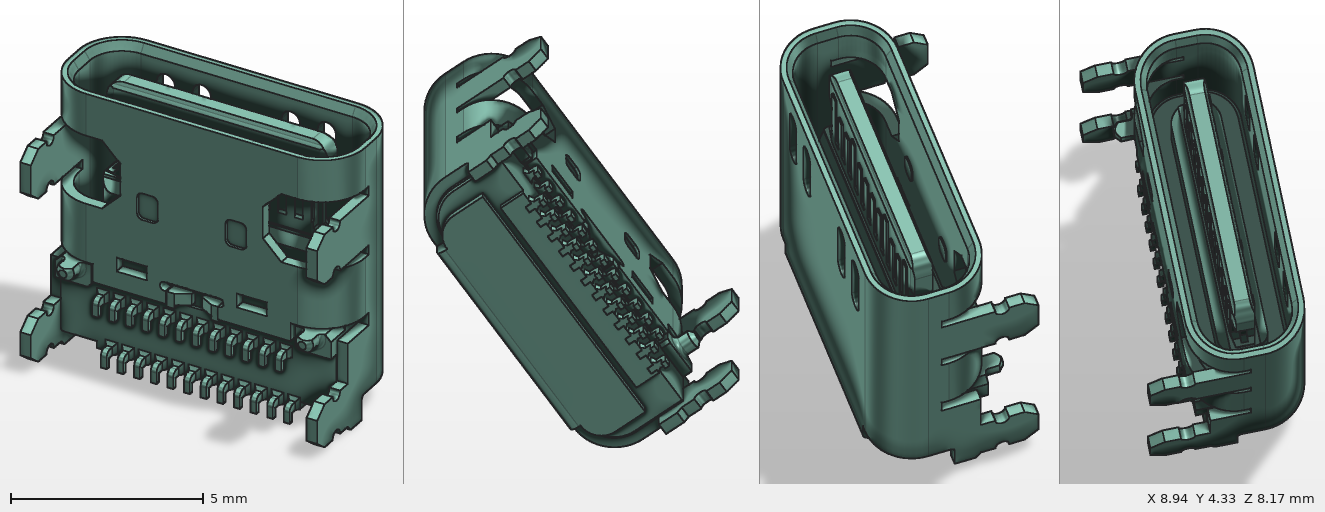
import cadquery as cq
import math


CUT_MARGIN = 0.09

WIDTH = 8.94
SHELL_DEPTH = 3.15
SHELL_TOP = 8.17
SHELL_BOTTOM = 0.73
CORNER_RADIUS = 1.29
WALL = 0.32
MOUTH_CHAMFER = 0.16
MOUTH_CHAMFER_HEIGHT = 0.24

HALF_WIDTH = WIDTH / 2
HALF_DEPTH = SHELL_DEPTH / 2
INNER_HALF_WIDTH = HALF_WIDTH - WALL
INNER_HALF_DEPTH = HALF_DEPTH - WALL
INNER_RADIUS = CORNER_RADIUS - WALL

LEG_ROOT_Y = -0.09
LEG_TIP_Y = -2.76
LEG_TIP_CHAMFER_Y = 0.38
LEG_TIP_CHAMFER_Z = 0.3
NOTCH_WIDTH = 0.375
NOTCH_DEPTH = 0.21
UPPER_LEG_Z = (5.11, 6.625)
LOWER_LEG_Z = (0.17, 1.475)
SIDE_OPENING_Z = (4.84, 6.9)
SIDE_OPENING_REACH = 2.15
SIDE_OPENING_CHAMFER = 0.55
SIDE_PLATE_TOP = 2.69
SIDE_PLATE_FRONT = -1.17
FOOT_BACK = -0.45
FOOT_FRONT = -1.03
FOOT_FILLET = 0.12

SKIRT_TOP = 3.07
FRONT_TAB_HALF_WIDTH = 2.98
FRONT_TAB_BOTTOM = 2.52
BACK_PLATE_Z = (0.06, 0.35)
BACK_PLATE_HALF_WIDTH = 3.67
BACK_PLATE_FRONT = -0.35
BACK_PLATE_CORNER = 0.66
BEND_OUTER_RADIUS = 0.27
BEND_INNER_RADIUS = 0.13

DIMPLE = (0.635, 0.805)
DIMPLE_X = 1.33
DIMPLE_Z = 5.26
DIMPLE_RADIUS = 0.18
DIMPLE_DEPTH = 0.09
BUMP_INSET = 0.125
BUMP_HEIGHT = 0.04
LATCH_WINDOW = (0.91, 0.42)
LATCH_WINDOW_X = 1.81
LATCH_WINDOW_Z = 3.27
BACK_SLOT_X = (1.34, 2.42)
BACK_SLOT_Z = (5.54, 7.53)
BACK_SLOT_WIDTH = 0.54
RELIEF_SLOT_WIDTH = 1.91
RELIEF_SLOT_Z = (2.905, 3.17)
NECK_HALF_WIDTH = 0.79

HOUSING_BOTTOM = 0.52
HOUSING_BOTTOM_CHAMFER = 0.05
HOUSING_HALF_WIDTH = INNER_HALF_WIDTH
HOUSING_FRONT = -1.22
FLOOR_Z = 3.415
FLOOR_CHAMFER = 0.09
FLOOR_CHAMFER_HEIGHT = 0.11
TAB_POCKET_HALF_WIDTH = 3.07
TAB_POCKET_BOTTOM = 2.41
TAB_POCKET_BACK = -1.12
COMB_BOTTOM = 0.31
COMB_BACK = -0.49
PAD_Z = (2.28, 2.98)
PAD_BACK = -0.75
PAD_FRONT = -1.49
PAD_TOP_CHAMFER = 0.18
PAD_CORNER_CHAMFER = 0.11
PEG_X = 3.6
PEG_Z = 2.825
PEG_RADIUS = 0.26
PEG_BASE_RADIUS = 0.375
PEG_TIP_RADIUS = 0.12
PEG_CHAMFER_Y = -1.91
PEG_TIP_Y = -2.06
PEG_EMBEDDED = 0.09
WEDGE_INNER_X = 0.15
WEDGE_OUTER_X = 0.56
NECK_BLOCK_TOP = 2.87
WEDGE_DEPTH = 0.22
NECK_BLOCK_FRONT = -1.52

TONGUE_HALF_WIDTH = 3.33
TONGUE_HALF_THICKNESS = 0.295
TONGUE_TIP_Z = 7.92
TONGUE_TIP_RADIUS = 0.48
TONGUE_TIP_HALF_THICKNESS = 0.21
TONGUE_TIP_CHAMFER_HEIGHT = 0.215
TONGUE_NOSE_HALF_THICKNESS = 0.24
TONGUE_NOSE_HEIGHT = 0.1
TONGUE_EDGE_CHAMFER_X = 0.45
TONGUE_EDGE_CHAMFER_Y = 0.09
SIDE_CATCH_Z = (5.14, 6.65)
SIDE_CATCH_DEPTH = 0.25
SIDE_CATCH_SLOPE = 0.16
PLASTIC_CATCH_DEPTH = 0.38
MID_PLATE_HALF_THICKNESS = 0.09
SHOULDER_Z = 5.1
SHOULDER_HALF_THICKNESS = 0.4
BASE_HALF_WIDTH = 3.38
BASE_HALF_THICKNESS = 0.66
BASE_CORNER = 0.45
BASE_SLOPE_TOP = 5.01

PITCH = 0.5
CONTACT_COUNT = 12
CONTACT_WIDTH = 0.25
CONTACT_FACE = 0.34
CONTACT_BOTTOM = 5.46
CONTACT_SLOPE = 0.09
SIGNAL_CONTACT_TOP = 6.97
POWER_CONTACT_TOP = 7.39
POWER_CONTACTS = (0, 3, 8, 11)
ROW_SHIFT = 0.125
LEAD_WIDTH = 0.18
LEAD_FRONT = -1.61
LEAD_THICKNESS = 0.13
LEAD_ARM_HEIGHT = 0.25
LEAD_DROP = 0.52
LEAD_EMBEDDED = 0.18
LEAD_BEND_RADIUS = 0.18
UPPER_LEAD_TOP = 2.04
LOWER_LEAD_TOP = 0.545
SOCKET_WIDTH = 0.375
SOCKET_HEIGHT = 0.36
SOCKET_PROUD = 0.1


def box(x, y, z):
    """Axis-aligned block between the (low, high) limits of each axis."""
    size = [high - low for low, high in (x, y, z)]
    return cq.Workplane("XY").box(*size, centered=False).translate((x[0], y[0], z[0]))


def rounded_bar(half_x, half_y, radius, z):
    """Upright bar with a rounded-rectangle section between two heights."""
    bar = cq.Workplane("XY").workplane(offset=z[0]).rect(2 * half_x, 2 * half_y).extrude(z[1] - z[0])
    return bar.edges("|Z").fillet(radius)


def prism_x(points, x):
    """Prism along X from an outline of (y, z) points."""
    return cq.Workplane("YZ").polyline(points).close().extrude(x[1] - x[0]).translate((x[0], 0, 0))


def prism_y(points, y):
    """Prism along Y from an outline of (x, z) points."""
    return cq.Workplane("XZ").polyline(points).close().extrude(y[1] - y[0]).translate((0, y[1], 0))


def both_sides(body):
    """The body together with its mirror image across the YZ plane."""
    return body.union(body.mirror("YZ"))


def front_wall_hole(x, z, size):
    """Rectangular cutter through the front wall."""
    half_width = size[0] / 2
    half_height = size[1] / 2
    return box(
        (x - half_width, x + half_width),
        (-HALF_DEPTH - CUT_MARGIN, -INNER_HALF_DEPTH),
        (z - half_height, z + half_height),
    )


def make_tube():
    tube = rounded_bar(HALF_WIDTH, HALF_DEPTH, CORNER_RADIUS, (SHELL_BOTTOM, SHELL_TOP))
    flare_angle = math.degrees(math.atan(MOUTH_CHAMFER / MOUTH_CHAMFER_HEIGHT))
    flare_start = SHELL_TOP - MOUTH_CHAMFER_HEIGHT
    bore = (
        rounded_bar(INNER_HALF_WIDTH, INNER_HALF_DEPTH, INNER_RADIUS, (SHELL_BOTTOM, flare_start))
        .faces(">Z")
        .wires()
        .toPending()
        .extrude(MOUTH_CHAMFER_HEIGHT, taper=-flare_angle)
    )
    return tube.cut(bore)


def leg_outline(z, root):
    """Leg seen from the side, from the side wall to its tip, with a rounded notch in each edge."""
    low, high = z
    radius = NOTCH_WIDTH / 2
    notch_start = -HALF_DEPTH
    notch_end = notch_start - NOTCH_WIDTH
    middle = notch_start - radius
    shoulder = LEG_TIP_Y + LEG_TIP_CHAMFER_Y
    straight = NOTCH_DEPTH - radius
    return (
        cq.Workplane("YZ")
        .moveTo(root, low)
        .lineTo(notch_start, low)
        .lineTo(notch_start, low + straight)
        .threePointArc((middle, low + NOTCH_DEPTH), (notch_end, low + straight))
        .lineTo(notch_end, low)
        .lineTo(shoulder, low)
        .lineTo(LEG_TIP_Y, low + LEG_TIP_CHAMFER_Z)
        .lineTo(LEG_TIP_Y, high - LEG_TIP_CHAMFER_Z)
        .lineTo(shoulder, high)
        .lineTo(notch_end, high)
        .lineTo(notch_end, high - straight)
        .threePointArc((middle, high - NOTCH_DEPTH), (notch_start, high - straight))
        .lineTo(notch_start, high)
        .lineTo(root, high)
        .close()
    )


def make_leg(z, root):
    return leg_outline(z, root).extrude(WALL).translate((-HALF_WIDTH, 0, 0))


def make_side_plate():
    """Flat plate below the shell that carries the lower leg and a foot."""
    leg_bottom = LOWER_LEG_Z[0]
    fillet_middle = FOOT_FILLET * (1 - math.sqrt(0.5))
    outline = (
        cq.Workplane("YZ")
        .moveTo(LEG_ROOT_Y, SIDE_PLATE_TOP)
        .lineTo(SIDE_PLATE_FRONT, SIDE_PLATE_TOP)
        .lineTo(SIDE_PLATE_FRONT, leg_bottom)
        .lineTo(FOOT_FRONT, 0)
        .lineTo(FOOT_BACK, 0)
        .lineTo(FOOT_BACK, SHELL_BOTTOM - FOOT_FILLET)
        .threePointArc(
            (FOOT_BACK + fillet_middle, SHELL_BOTTOM - fillet_middle),
            (FOOT_BACK + FOOT_FILLET, SHELL_BOTTOM),
        )
        .lineTo(LEG_ROOT_Y, SHELL_BOTTOM)
        .close()
    )
    return outline.extrude(WALL).translate((-HALF_WIDTH, 0, 0))


def make_side_opening():
    """Cutter for the corner opening around the upper leg."""
    low, high = SIDE_OPENING_Z
    slope_x = -SIDE_OPENING_REACH - SIDE_OPENING_CHAMFER
    outline = [
        (-HALF_WIDTH - CUT_MARGIN, low),
        (slope_x, low),
        (-SIDE_OPENING_REACH, low + SIDE_OPENING_CHAMFER),
        (-SIDE_OPENING_REACH, high - SIDE_OPENING_CHAMFER),
        (slope_x, high),
        (-HALF_WIDTH - CUT_MARGIN, high),
    ]
    return prism_y(outline, (-HALF_DEPTH - CUT_MARGIN, LEG_ROOT_Y))


def make_back_plate():
    """Strap that bends under the shell into a flat plate with rounded rear corners."""
    low, high = BACK_PLATE_Z
    strap_half_width = BACK_PLATE_HALF_WIDTH - BACK_PLATE_CORNER
    plate_x = (-BACK_PLATE_HALF_WIDTH, BACK_PLATE_HALF_WIDTH)
    plate = box(plate_x, (BACK_PLATE_FRONT, INNER_HALF_DEPTH), BACK_PLATE_Z)
    plate = plate.edges("|Z and >Y").fillet(BACK_PLATE_CORNER)
    strap = prism_x(
        [
            (INNER_HALF_DEPTH - BACK_PLATE_CORNER, low),
            (HALF_DEPTH, low),
            (HALF_DEPTH, SHELL_BOTTOM),
            (INNER_HALF_DEPTH, SHELL_BOTTOM),
            (INNER_HALF_DEPTH, high),
            (INNER_HALF_DEPTH - BACK_PLATE_CORNER, high),
        ],
        (-strap_half_width, strap_half_width),
    )
    strap = strap.edges("|X and >Y and <Z").fillet(BEND_OUTER_RADIUS)
    inner_bend = cq.selectors.NearestToPointSelector((0, INNER_HALF_DEPTH, high))
    strap = strap.edges(inner_bend).fillet(BEND_INNER_RADIUS)
    return plate.union(strap)


def make_dimple():
    """Dent pressed into the outside of the front wall, and the bump it raises inside."""
    dent = front_wall_hole(-DIMPLE_X, DIMPLE_Z, DIMPLE).edges("|Y").fillet(DIMPLE_RADIUS)
    dent = dent.translate((0, DIMPLE_DEPTH - WALL, 0))
    bump = front_wall_hole(-DIMPLE_X, DIMPLE_Z, (DIMPLE[0] - BUMP_INSET, DIMPLE[1] - BUMP_INSET))
    bump = bump.edges("|Y").fillet(DIMPLE_RADIUS)
    return dent, bump.translate((0, BUMP_HEIGHT, 0)).cut(dent)


def make_shell():
    shell = make_tube()

    front_y = (-HALF_DEPTH - CUT_MARGIN, LEG_ROOT_Y)
    corner_cut = box((-HALF_WIDTH - CUT_MARGIN, -FRONT_TAB_HALF_WIDTH), front_y, (0, SKIRT_TOP))
    shell = shell.cut(both_sides(corner_cut))
    tab_cut = box((-HALF_WIDTH, HALF_WIDTH), front_y, (0, FRONT_TAB_BOTTOM))
    shell = shell.cut(tab_cut)
    shell = shell.cut(both_sides(make_side_opening()))

    sides = make_leg(UPPER_LEG_Z, LEG_ROOT_Y).union(make_leg(LOWER_LEG_Z, FOOT_FRONT))
    sides = sides.union(make_side_plate())
    shell = shell.union(both_sides(sides)).union(make_back_plate())

    shell = shell.cut(both_sides(front_wall_hole(-LATCH_WINDOW_X, LATCH_WINDOW_Z, LATCH_WINDOW)))
    dent, bump = make_dimple()
    shell = shell.cut(both_sides(dent)).union(both_sides(bump))

    slot_low, slot_high = RELIEF_SLOT_Z
    slot_height = slot_high - slot_low
    slot_middle = (slot_low + slot_high) / 2
    relief = (
        cq.Workplane("XZ", origin=(0, -INNER_HALF_DEPTH, slot_middle))
        .slot2D(RELIEF_SLOT_WIDTH, slot_height)
        .extrude(WALL + CUT_MARGIN)
    )
    neck = front_wall_hole(0, slot_middle / 2, (2 * NECK_HALF_WIDTH, slot_middle))
    shell = shell.cut(relief).cut(neck)

    slot_length = BACK_SLOT_Z[1] - BACK_SLOT_Z[0]
    slots = (
        cq.Workplane("XZ", origin=(0, INNER_HALF_DEPTH - CUT_MARGIN, sum(BACK_SLOT_Z) / 2))
        .pushPoints([(side * x, 0) for side in (-1, 1) for x in BACK_SLOT_X])
        .slot2D(slot_length, BACK_SLOT_WIDTH, 90)
        .extrude(-WALL - 2 * CUT_MARGIN)
    )
    return shell.cut(slots)


def make_peg():
    """Locating peg along -Y with a flared root, a tapered tip and a flat top."""
    flare = PEG_BASE_RADIUS - PEG_RADIUS
    flare_end = PAD_FRONT - flare
    inset = flare * (1 - math.sqrt(0.5))
    peg = (
        cq.Workplane("XY")
        .moveTo(0, PAD_FRONT + PEG_EMBEDDED)
        .lineTo(PEG_BASE_RADIUS, PAD_FRONT + PEG_EMBEDDED)
        .lineTo(PEG_BASE_RADIUS, PAD_FRONT)
        .threePointArc((PEG_RADIUS + inset, PAD_FRONT - inset), (PEG_RADIUS, flare_end))
        .lineTo(PEG_RADIUS, PEG_CHAMFER_Y)
        .lineTo(PEG_TIP_RADIUS, PEG_TIP_Y)
        .lineTo(0, PEG_TIP_Y)
        .close()
        .revolve(360, (0, 0), (0, 1))
        .translate((-PEG_X, 0, PEG_Z))
    )
    return peg.cut(box((-HALF_WIDTH, 0), (PEG_TIP_Y - CUT_MARGIN, 0), (PAD_Z[1], PEG_Z + PEG_BASE_RADIUS)))


def make_corner_pad():
    pad = box((-HOUSING_HALF_WIDTH, -TAB_POCKET_HALF_WIDTH), (PAD_FRONT, PAD_BACK), PAD_Z)
    pad = pad.edges("|Y and >Z and <X").chamfer(PAD_TOP_CHAMFER)
    pad = pad.edges("|Y and <Z and >X").chamfer(PAD_CORNER_CHAMFER)
    return pad.union(make_peg())


def make_neck_block():
    """Block in one half of the shell's neck: a flat post, then a face sloping back towards the middle."""
    height = NECK_BLOCK_TOP - FRONT_TAB_BOTTOM
    outline = [
        (-NECK_HALF_WIDTH, TAB_POCKET_BACK),
        (-NECK_HALF_WIDTH, NECK_BLOCK_FRONT),
        (-WEDGE_OUTER_X, NECK_BLOCK_FRONT),
        (-WEDGE_INNER_X, NECK_BLOCK_FRONT + WEDGE_DEPTH),
        (-WEDGE_INNER_X, TAB_POCKET_BACK),
    ]
    wedge = cq.Workplane("XY", origin=(0, 0, FRONT_TAB_BOTTOM)).polyline(outline).close().extrude(height)
    post = box(
        (-NECK_HALF_WIDTH, -WEDGE_OUTER_X),
        (NECK_BLOCK_FRONT, TAB_POCKET_BACK),
        (TAB_POCKET_BOTTOM, FRONT_TAB_BOTTOM),
    )
    return wedge.union(post)


def make_housing():
    core = rounded_bar(INNER_HALF_WIDTH, INNER_HALF_DEPTH, INNER_RADIUS, (HOUSING_BOTTOM, FLOOR_Z))
    core = core.faces("<Z").chamfer(HOUSING_BOTTOM_CHAMFER)
    core = core.faces(">Z").chamfer(FLOOR_CHAMFER_HEIGHT, FLOOR_CHAMFER)
    below_tab = box((-HALF_WIDTH, HALF_WIDTH), (-HALF_DEPTH, HOUSING_FRONT), (0, PAD_Z[1]))
    housing_x = (-HOUSING_HALF_WIDTH, HOUSING_HALF_WIDTH)
    front = box(housing_x, (HOUSING_FRONT, 0), (HOUSING_BOTTOM, PAD_Z[0]))
    upper_front = box(housing_x, (PAD_BACK, 0), (PAD_Z[0], SKIRT_TOP))
    front = front.edges("|Y and <Z").chamfer(HOUSING_BOTTOM_CHAMFER)
    tab_x = (-TAB_POCKET_HALF_WIDTH, TAB_POCKET_HALF_WIDTH)
    comb = box(tab_x, (HOUSING_FRONT, COMB_BACK), (COMB_BOTTOM, HOUSING_BOTTOM))
    tab_pocket = box(tab_x, (-HALF_DEPTH, TAB_POCKET_BACK), (TAB_POCKET_BOTTOM, RELIEF_SLOT_Z[0]))
    housing = core.cut(below_tab).union(front).union(upper_front).union(comb)
    housing = housing.cut(tab_pocket)
    return housing.union(both_sides(make_corner_pad())).union(both_sides(make_neck_block()))


def make_side_catch(depth, y):
    """Cutter for the latch notch in the side edge of the tongue."""
    low, high = SIDE_CATCH_Z
    edge = -TONGUE_HALF_WIDTH
    floor = edge + depth
    outline = [
        (edge, low),
        (floor - SIDE_CATCH_SLOPE, low),
        (floor, low + SIDE_CATCH_SLOPE),
        (floor, high - SIDE_CATCH_SLOPE),
        (floor - SIDE_CATCH_SLOPE, high),
        (edge, high),
    ]
    return prism_y(outline, y)


def make_tongue():
    """Thin contact blade with rounded tip corners and a catch in each side, on a thicker sloped base.

    The catches are shallower in the metal plate at mid-thickness than in the plastic around it.
    """
    tip = TONGUE_TIP_Z
    blade = box((-TONGUE_HALF_WIDTH, TONGUE_HALF_WIDTH), (-CONTACT_FACE, CONTACT_FACE), (FLOOR_Z, tip))
    blade = blade.edges("|Y and >Z").fillet(TONGUE_TIP_RADIUS)
    blade = blade.cut(both_sides(make_side_catch(SIDE_CATCH_DEPTH, (-CONTACT_FACE, CONTACT_FACE))))
    plastic_catch = make_side_catch(PLASTIC_CATCH_DEPTH, (MID_PLATE_HALF_THICKNESS, CONTACT_FACE))
    plastic_catch = plastic_catch.union(plastic_catch.mirror("XZ"))
    blade = blade.cut(both_sides(plastic_catch))

    def side_profile(sign):
        return [
            (sign * CONTACT_FACE, FLOOR_Z),
            (sign * CONTACT_FACE, CONTACT_BOTTOM),
            (sign * TONGUE_HALF_THICKNESS, CONTACT_BOTTOM + CONTACT_SLOPE),
            (sign * TONGUE_HALF_THICKNESS, tip - TONGUE_TIP_CHAMFER_HEIGHT),
            (sign * TONGUE_NOSE_HALF_THICKNESS, tip - TONGUE_NOSE_HEIGHT),
            (sign * TONGUE_TIP_HALF_THICKNESS, tip),
        ]

    blade = blade.intersect(prism_x(side_profile(-1) + side_profile(1)[::-1], (-HALF_WIDTH, HALF_WIDTH)))

    blank = box((-TONGUE_HALF_WIDTH, TONGUE_HALF_WIDTH), (-CONTACT_FACE, CONTACT_FACE), (FLOOR_Z, tip))
    blank = blank.edges("|Z").chamfer(TONGUE_EDGE_CHAMFER_Y, TONGUE_EDGE_CHAMFER_X)
    blade = blade.intersect(blank)

    rise = BASE_HALF_THICKNESS - SHOULDER_HALF_THICKNESS
    base = rounded_bar(BASE_HALF_WIDTH, BASE_HALF_THICKNESS, BASE_CORNER, (FLOOR_Z, SHOULDER_Z))

    def base_profile(sign):
        return [
            (sign * BASE_HALF_THICKNESS, FLOOR_Z),
            (sign * BASE_HALF_THICKNESS, BASE_SLOPE_TOP - rise),
            (sign * SHOULDER_HALF_THICKNESS, BASE_SLOPE_TOP),
            (sign * SHOULDER_HALF_THICKNESS, SHOULDER_Z),
        ]

    base = base.intersect(prism_x(base_profile(-1) + base_profile(1)[::-1], (-HALF_WIDTH, HALF_WIDTH)))
    return blade.union(base)


def row_positions(shift):
    """X positions of one row of contacts or leads."""
    middle = (CONTACT_COUNT - 1) / 2
    return [shift + PITCH * (index - middle) for index in range(CONTACT_COUNT)]


def make_contacts():
    contacts = cq.Workplane("XY")
    for index, x in enumerate(row_positions(0)):
        top = POWER_CONTACT_TOP if index in POWER_CONTACTS else SIGNAL_CONTACT_TOP
        half = CONTACT_WIDTH / 2
        contact = box((x - half, x + half), (-CONTACT_FACE, CONTACT_FACE), (CONTACT_BOTTOM, top))
        contacts = contacts.add(contact)
    return contacts.combine()


def make_lead(x, top):
    """Lead that leaves a tapered boss on the housing and bends down to its solder end."""
    bottom = top - LEAD_ARM_HEIGHT
    end = top - LEAD_DROP
    inner = LEAD_FRONT + LEAD_THICKNESS
    root = HOUSING_FRONT + LEAD_EMBEDDED
    outline = [
        (root, top),
        (LEAD_FRONT, top),
        (LEAD_FRONT, end),
        (inner, end),
        (inner, bottom),
        (root, bottom),
    ]
    half = LEAD_WIDTH / 2
    lead = prism_x(outline, (x - half, x + half))
    lead = lead.edges("|X and <Y and >Z").fillet(LEAD_BEND_RADIUS)
    boss = (
        cq.Workplane("XZ", origin=(x, HOUSING_FRONT, bottom))
        .center(0, SOCKET_HEIGHT / 2)
        .rect(SOCKET_WIDTH, SOCKET_HEIGHT)
        .workplane(offset=SOCKET_PROUD)
        .center(0, (LEAD_ARM_HEIGHT - SOCKET_HEIGHT) / 2)
        .rect(LEAD_WIDTH, LEAD_ARM_HEIGHT)
        .loft(combine=True)
    )
    return lead.union(boss)


def make_leads():
    leads = cq.Workplane("XY")
    for shift, top in ((-ROW_SHIFT, UPPER_LEAD_TOP), (ROW_SHIFT, LOWER_LEAD_TOP)):
        for x in row_positions(shift):
            leads = leads.add(make_lead(x, top))
    return leads.combine()


result = make_shell().union(make_housing()).union(make_tongue()).union(make_contacts()).union(make_leads())